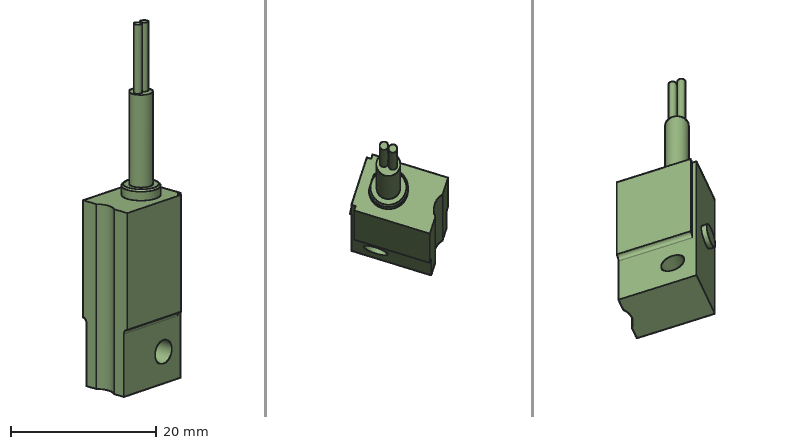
import cadquery as cq

body_width = 8.3
body_depth = 11.55
body_height = 26.8
core_width = 7.05
rebate_depth = 0.6
shoulder_z = 9.8

groove_width = 3.3
groove_depth = 0.6

hole_diameter = 3.4
hole_y = 8.0
hole_z = 4.6

button_diameter = 3.35
button_height = 0.8
button_z = 13.45

outlet_y = 7.3
collar_diameter = 5.45
collar_height = 1.55
collar_chamfer = 0.25
collar_flat_offset = 2.5
cable_diameter = 3.3
cable_top_z = 41.7
wire_diameter = 1.2
wire_spacing = 1.3
wire_top_z = 51.7


def make_housing():
    """Narrow core with wider cheeks that end in filleted shoulders."""
    core = cq.Workplane("XY").box(core_width, body_depth, body_height, centered=(True, False, False))
    half_body = body_width / 2
    half_core = core_width / 2
    shoulder_radius = half_body - half_core
    cheek_depth = body_depth - rebate_depth
    cheeks = (
        cq.Workplane("XZ")
        .moveTo(-half_core, shoulder_z - shoulder_radius)
        .radiusArc((-half_body, shoulder_z), -shoulder_radius)
        .lineTo(-half_body, body_height)
        .lineTo(half_body, body_height)
        .lineTo(half_body, shoulder_z)
        .radiusArc((half_core, shoulder_z - shoulder_radius), -shoulder_radius)
        .close()
        .extrude(-cheek_depth)
    )
    return core.union(cheeks)


def make_groove():
    half_width = groove_width / 2
    radius = (half_width**2 + groove_depth**2) / (2 * groove_depth)
    return cq.Workplane("XY").center(0, groove_depth - radius).circle(radius).extrude(body_height)


def make_hole():
    return (
        cq.Workplane("YZ")
        .center(hole_y, hole_z)
        .circle(hole_diameter / 2)
        .extrude(body_width / 2, both=True)
    )


def make_button():
    back_plane = cq.Workplane("XZ", origin=(0, body_depth, button_z))
    return back_plane.circle(button_diameter / 2).extrude(-button_height)


def make_collar():
    """Ring around the cable with a chamfered rim and a flat on its back side."""
    base_plane = cq.Workplane("XY", origin=(0, outlet_y, body_height))
    ring = base_plane.circle(collar_diameter / 2).extrude(collar_height).faces(">Z").chamfer(collar_chamfer)
    flat_cutter = (
        base_plane
        .center(0, collar_flat_offset)
        .box(collar_diameter, collar_diameter, collar_height, centered=(True, False, False))
    )
    return ring.cut(flat_cutter)


def make_cable():
    """Cable jacket with two bare wires side by side along Y."""
    cable = (
        cq.Workplane("XY", origin=(0, outlet_y, body_height))
        .circle(cable_diameter / 2)
        .extrude(cable_top_z - body_height)
    )
    wires = (
        cq.Workplane("XY", origin=(0, outlet_y, body_height))
        .pushPoints([(0, -wire_spacing / 2), (0, wire_spacing / 2)])
        .circle(wire_diameter / 2)
        .extrude(wire_top_z - body_height)
    )
    return cable.union(wires)


housing = make_housing().cut(make_groove()).cut(make_hole())
result = housing.union(make_button()).union(make_collar()).union(make_cable())